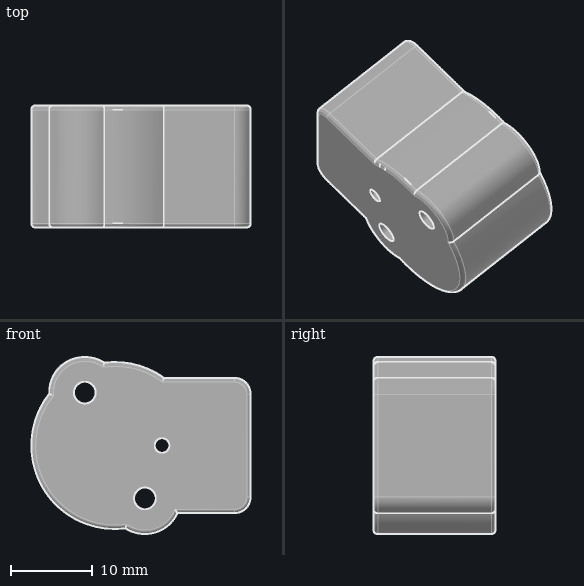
import cadquery as cq

length = 26.9
depth = 15.0

body_radius = 10.25

block_height = 16.6
block_corner_radius = 2.0
block_end = length - body_radius

lobe_radius = 4.39
lobe_offset_x = 3.7
lobe_offset_z = 6.49
screw_hole_diameter = 2.65

shaft_hole_diameter = 1.78
shaft_hole_x = 5.79

edge_radius = 0.5

lobe_centers = [(-lobe_offset_x, lobe_offset_z), (lobe_offset_x, -lobe_offset_z)]


def cylinders(centers, radius):
    """Cylinders along Y, spanning the full depth and centred on the XZ plane."""
    return cq.Workplane("XZ").pushPoints(centers).circle(radius).extrude(depth / 2, both=True)


def block():
    """Block with rounded upper and lower corners on its +X side."""
    plain = cq.Workplane("XY").box(block_end, depth, block_height).translate((block_end / 2, 0, 0))
    return plain.faces(">X").edges("|Y").fillet(block_corner_radius)


body = cylinders([(0, 0)], body_radius).union(block()).union(cylinders(lobe_centers, lobe_radius))
body = body.clean().faces("<Y or >Y").edges().fillet(edge_radius)

screw_holes = cylinders(lobe_centers, screw_hole_diameter / 2)
shaft_hole = cylinders([(shaft_hole_x, 0)], shaft_hole_diameter / 2)
result = body.cut(screw_holes).cut(shaft_hole)